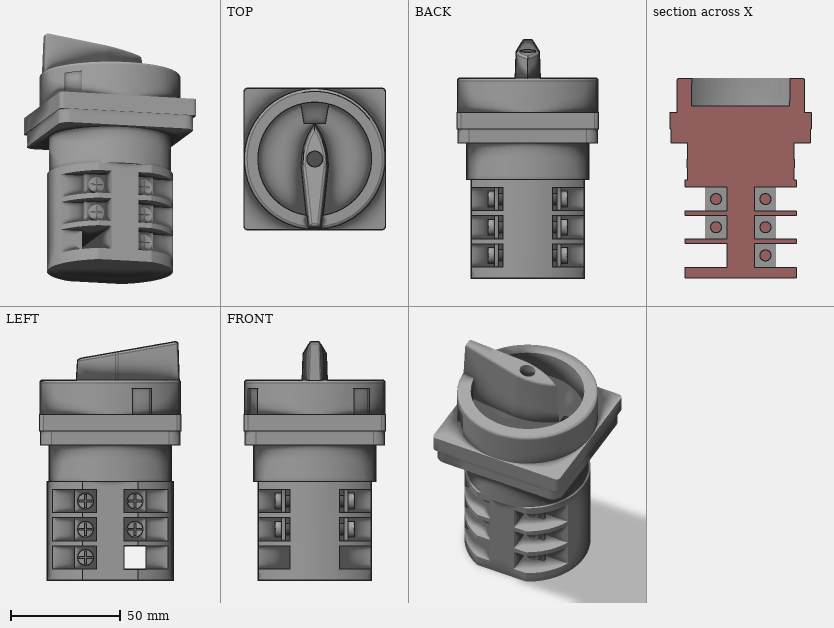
import cadquery as cq
import math


BODY_TOP = 45.3
COLLAR_TOP = 62.1
BACK_PLATE_TOP = 68.4
FRONT_PLATE_TOP = 76.1
FLOOR_TOP = 79.2
BEZEL_TOP = 91.8
TOTAL_HEIGHT = 109.5

OVERCUT = 1.1

BODY_RADIUS = 28.9
BODY_FLAT_WIDTH = 52.0
COLLAR_RADIUS = 28.0

ROW_COUNT = 3
FIRST_ROW_Z = 5.3
ROW_PITCH = 12.9
WINDOW_HEIGHT = 10.6
SLOT_INNER_Y = 6.3
SLOT_OUTER_Y = 16.3
CORNER_WALL_X = 11.4
SLOT_WIDTH = SLOT_OUTER_Y - SLOT_INNER_Y
SLOT_CENTRE_Y = (SLOT_OUTER_Y + SLOT_INNER_Y) / 2

CONTACT_INNER_X = 13.4
CONTACT_OUTER_X = 15.3
SHANK_RADIUS = 2.6
HEAD_RADIUS = 3.6
HEAD_HEIGHT = 2.8
CROSS_LENGTH = 5.8
CROSS_WIDTH = 0.8
CROSS_DEPTH = 1.1

FRONT_PLATE_SIDE = 65.0
FRONT_PLATE_CORNER = 2.0
BACK_PLATE_SIDE = 63.9
BACK_PLATE_CORNER = 5.0

BEZEL_RADIUS = 32.3
BEZEL_ROUNDING = 1.3
WELL_RADIUS = 26.0
GRIP_HEIGHT = 11.8
GRIP_DEPTH = 1.1
GRIP_SPAN = 17.5
GRIP_ANGLES = (207.0, 312.5)

POCKET_DEPTH = 3.1
POCKET_INNER_Y = 16.3
POCKET_INNER_WIDTH = 9.7
POCKET_OUTER_WIDTH = 12.9

HANDLE_TIP_Y = 16.3
HANDLE_WIDE_Y = -2.5
HANDLE_TAIL_Y = -32.1
HANDLE_SHOULDER = 1.1
HANDLE_HALF_WIDTH = 6.2
HANDLE_TAIL_HALF_WIDTH = 3.3
HANDLE_DRAFT = 2.0
HANDLE_SLOPE = 10.0
HANDLE_ROUNDING = 1.2
HANDLE_TAIL_ROUNDING = 0.5
HANDLE_HOLE_RADIUS = 3.6


def block(x_range, y_range, z_range):
    """Box between the given limits along each axis."""
    size = [high - low for low, high in (x_range, y_range, z_range)]
    corner = (x_range[0], y_range[0], z_range[0])
    return cq.Workplane("XY").box(*size, centered=False).translate(corner)


def disc(radius, bottom, top):
    """Upright cylinder between two heights."""
    return cq.Workplane("XY").workplane(offset=bottom).circle(radius).extrude(top - bottom)


def square_plate(side, corner_radius, bottom, top):
    """Square plate with rounded upright corners."""
    plate = cq.Workplane("XY").workplane(offset=bottom).rect(side, side).extrude(top - bottom)
    return plate.edges("|Z").fillet(corner_radius)


def window_pair(side, bottom):
    """Two facing corner pockets that open to the outside.

    side is +1 for the pair at +Y and -1 for the pair at -Y.
    """
    reach = BODY_RADIUS + OVERCUT
    pocket = block(
        (CORNER_WALL_X, reach),
        (SLOT_INNER_Y, reach),
        (bottom, bottom + WINDOW_HEIGHT),
    )
    pair = pocket.union(pocket.mirror("YZ"))
    return pair if side > 0 else pair.mirror("XZ")


def through_slot(side, bottom):
    """Passage along X joining the two pockets of an empty pair."""
    centre = (0, side * SLOT_CENTRE_Y, bottom + WINDOW_HEIGHT / 2)
    return cq.Workplane("XY").box(2 * CORNER_WALL_X, SLOT_WIDTH, WINDOW_HEIGHT).translate(centre)


def terminal_pair(side, bottom):
    """Contact plates with cross-head screws standing in the two pockets of a pair."""
    centre = (0, side * SLOT_CENTRE_Y, bottom + WINDOW_HEIGHT / 2)
    contact_thickness = CONTACT_OUTER_X - CONTACT_INNER_X
    shank_length = CONTACT_INNER_X - CORNER_WALL_X

    shank = cq.Workplane("YZ").workplane(offset=CORNER_WALL_X).circle(SHANK_RADIUS).extrude(shank_length)
    contact = (
        cq.Workplane("YZ")
        .workplane(offset=CONTACT_INNER_X)
        .rect(SLOT_WIDTH, WINDOW_HEIGHT)
        .extrude(contact_thickness)
    )
    head = cq.Workplane("YZ").workplane(offset=CONTACT_OUTER_X).circle(HEAD_RADIUS).extrude(HEAD_HEIGHT)
    cross_plane = cq.Workplane("YZ").workplane(offset=CONTACT_OUTER_X + HEAD_HEIGHT)
    head = head.cut(cross_plane.rect(CROSS_LENGTH, CROSS_WIDTH).extrude(-CROSS_DEPTH))
    head = head.cut(cross_plane.rect(CROSS_WIDTH, CROSS_LENGTH).extrude(-CROSS_DEPTH))

    terminal = shank.union(contact).union(head)
    return terminal.union(terminal.mirror("YZ")).translate(centre)


def make_body():
    """Round contact body with flat sides, terminal windows and terminals."""
    flats = block(
        (-BODY_FLAT_WIDTH / 2, BODY_FLAT_WIDTH / 2),
        (-BODY_RADIUS, BODY_RADIUS),
        (0, BODY_TOP),
    )
    body = disc(BODY_RADIUS, 0, BODY_TOP).intersect(flats)
    for row in range(ROW_COUNT):
        bottom = FIRST_ROW_Z + row * ROW_PITCH
        for side in (1, -1):
            body = body.cut(window_pair(side, bottom))
            if row == 0 and side < 0:
                body = body.cut(through_slot(side, bottom))
            else:
                body = body.union(terminal_pair(side, bottom))
    return body


def make_mount():
    """Collar and the two square plates above it."""
    collar = disc(COLLAR_RADIUS, BODY_TOP, COLLAR_TOP)
    back = square_plate(BACK_PLATE_SIDE, BACK_PLATE_CORNER, COLLAR_TOP, BACK_PLATE_TOP)
    front = square_plate(FRONT_PLATE_SIDE, FRONT_PLATE_CORNER, BACK_PLATE_TOP, FRONT_PLATE_TOP)
    return collar.union(back).union(front)


def grip_recess(angle):
    """Shallow curved recess in the bezel wall, rising from the front plate."""
    top = FRONT_PLATE_TOP + GRIP_HEIGHT
    outer_radius = BEZEL_RADIUS + OVERCUT
    shell = disc(outer_radius, FRONT_PLATE_TOP, top).cut(
        disc(BEZEL_RADIUS - GRIP_DEPTH, FRONT_PLATE_TOP, top)
    )
    reach = 2 * outer_radius
    half_width = reach * math.tan(math.radians(GRIP_SPAN / 2))
    sector = (
        cq.Workplane("XY")
        .workplane(offset=FRONT_PLATE_TOP)
        .polyline([(0, 0), (reach, -half_width), (reach, half_width)])
        .close()
        .extrude(GRIP_HEIGHT)
    )
    return shell.intersect(sector.rotate((0, 0, 0), (0, 0, 1), angle))


def wedge_pocket():
    """Tapered pocket in the dial floor, bounded outside by the well wall."""
    bottom = FLOOR_TOP - POCKET_DEPTH
    wall_y = math.sqrt(WELL_RADIUS**2 - (POCKET_OUTER_WIDTH / 2) ** 2)
    flare = (POCKET_OUTER_WIDTH - POCKET_INNER_WIDTH) / (wall_y - POCKET_INNER_Y)
    end_width = POCKET_INNER_WIDTH + flare * (WELL_RADIUS - POCKET_INNER_Y)
    wedge = (
        cq.Workplane("XY")
        .workplane(offset=bottom)
        .polyline(
            [
                (-POCKET_INNER_WIDTH / 2, POCKET_INNER_Y),
                (POCKET_INNER_WIDTH / 2, POCKET_INNER_Y),
                (end_width / 2, WELL_RADIUS),
                (-end_width / 2, WELL_RADIUS),
            ]
        )
        .close()
        .extrude(POCKET_DEPTH)
    )
    return wedge.intersect(disc(WELL_RADIUS, bottom, FLOOR_TOP))


def make_bezel():
    """Round bezel with rounded rim, sunken dial floor, pocket and grip recesses."""
    bezel = disc(BEZEL_RADIUS, FRONT_PLATE_TOP, BEZEL_TOP).faces(">Z").edges().fillet(BEZEL_ROUNDING)
    bezel = bezel.cut(disc(WELL_RADIUS, FLOOR_TOP, BEZEL_TOP))
    bezel = bezel.cut(wedge_pocket())
    for angle in GRIP_ANGLES:
        bezel = bezel.cut(grip_recess(angle))
    return bezel


def make_handle():
    """Drafted pointer handle with arched nose, straight tail and sloping rounded top."""
    nose = HANDLE_TIP_Y - HANDLE_WIDE_Y
    arc_radius = (HANDLE_HALF_WIDTH**2 + nose**2) / (2 * HANDLE_HALF_WIDTH)
    middle_angle = math.asin(nose / arc_radius) / 2
    arc_x = HANDLE_HALF_WIDTH - arc_radius * (1 - math.cos(middle_angle))
    arc_y = HANDLE_WIDE_Y + arc_radius * math.sin(middle_angle)

    handle = (
        cq.Workplane("XY")
        .workplane(offset=FLOOR_TOP)
        .moveTo(-HANDLE_TAIL_HALF_WIDTH, HANDLE_TAIL_Y)
        .lineTo(HANDLE_TAIL_HALF_WIDTH, HANDLE_TAIL_Y)
        .lineTo(HANDLE_HALF_WIDTH, HANDLE_WIDE_Y - HANDLE_SHOULDER)
        .lineTo(HANDLE_HALF_WIDTH, HANDLE_WIDE_Y)
        .threePointArc((arc_x, arc_y), (0, HANDLE_TIP_Y))
        .threePointArc((-arc_x, arc_y), (-HANDLE_HALF_WIDTH, HANDLE_WIDE_Y))
        .lineTo(-HANDLE_HALF_WIDTH, HANDLE_WIDE_Y - HANDLE_SHOULDER)
        .close()
        .extrude(TOTAL_HEIGHT + OVERCUT - FLOOR_TOP, taper=HANDLE_DRAFT)
    )

    slope = math.radians(HANDLE_SLOPE)
    tail_lean = (TOTAL_HEIGHT - HANDLE_ROUNDING - FLOOR_TOP) * math.tan(math.radians(HANDLE_DRAFT))
    peak_y = HANDLE_TAIL_Y + tail_lean + HANDLE_ROUNDING
    peak_z = TOTAL_HEIGHT + HANDLE_ROUNDING * (1 / math.cos(slope) - 1)
    reach = 2 * BEZEL_RADIUS
    above_top = (
        block((-reach, reach), (-reach, reach), (0, reach))
        .rotate((0, 0, 0), (1, 0, 0), -HANDLE_SLOPE)
        .translate((0, peak_y, peak_z))
    )
    handle = handle.cut(above_top)

    tail_corners = handle.faces("<Y").edges("not |X")
    handle = tail_corners.fillet(HANDLE_TAIL_ROUNDING)
    handle = handle.faces(">Z").edges().fillet(HANDLE_ROUNDING)
    return handle.cut(disc(HANDLE_HOLE_RADIUS, FLOOR_TOP, TOTAL_HEIGHT))


result = make_body().union(make_mount()).union(make_bezel()).union(make_handle())